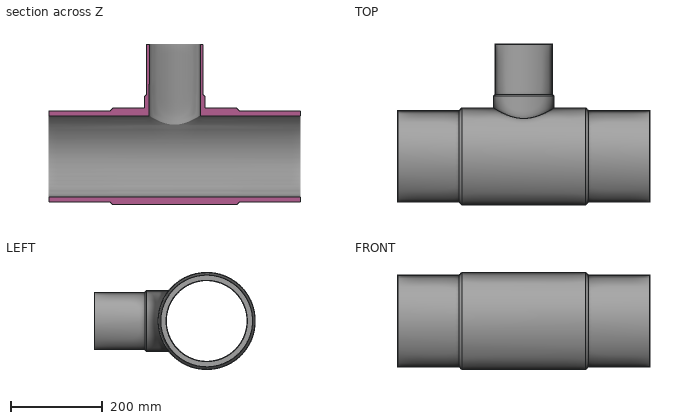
import cadquery as cq

run_length = 550.0
run_outer_diameter = 200.0
run_bore_diameter = 176.2

body_diameter = 211.9
body_length = 282.0
body_bevel = (body_diameter - run_outer_diameter) / 2

branch_reach = 245.0
branch_outer_diameter = 125.0
branch_bore_diameter = 110.2

collar_diameter = 132.4
collar_reach = 135.0
collar_bevel = (collar_diameter - branch_outer_diameter) / 2


def run_cylinder(diameter, length):
    """Cylinder along X, centred on the origin."""
    return cq.Workplane("YZ").circle(diameter / 2).extrude(length / 2, both=True)


def branch_cylinder(diameter, reach):
    """Cylinder from the run axis out to the given distance along +Y."""
    return cq.Workplane("XZ").circle(diameter / 2).extrude(-reach)


def outer_run():
    body = run_cylinder(body_diameter, body_length).faces("<X or >X").chamfer(body_bevel)
    return run_cylinder(run_outer_diameter, run_length).union(body)


def outer_branch():
    collar = branch_cylinder(collar_diameter, collar_reach).faces(">Y").chamfer(collar_bevel)
    return branch_cylinder(branch_outer_diameter, branch_reach).union(collar)


def bores():
    run_bore = run_cylinder(run_bore_diameter, run_length)
    branch_bore = branch_cylinder(branch_bore_diameter, branch_reach)
    return run_bore.union(branch_bore)


result = outer_run().union(outer_branch()).cut(bores())